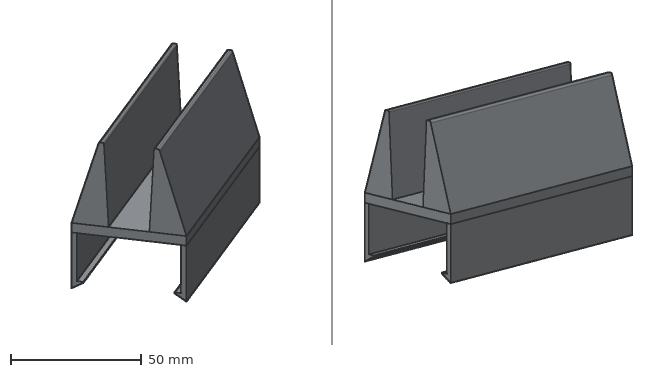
import cadquery as cq

length = 100.0
width = 46.0
plate_thickness = 4.0

jaw_height = 35.0
jaw_base_gap = 16.3
jaw_tip_gap = 20.1
jaw_tip_width = 2.0
jaw_outer_radius = 1.0
jaw_inner_radius = 0.5

leg_height = 23.4
leg_thickness = 2.2
hook_height = 3.3
hook_reach = 4.8
hook_lip = 0.4

half_width = width / 2
jaw_top = plate_thickness + jaw_height
leg_bottom = -leg_height
hook_top = leg_bottom + hook_height


def extrude_profile(points):
    """Extrude a closed XZ outline along Y, centred on the origin."""
    return cq.Workplane("XZ").polyline(points).close().extrude(length / 2, both=True)


def make_plate():
    """Flat plate that carries the jaws above and the legs below."""
    return cq.Workplane("XY").box(width, length, plate_thickness, centered=(True, True, False))


def make_jaw(side):
    """Tapered jaw with a rounded tip, on the side given by the sign of X."""
    base_inner = jaw_base_gap / 2
    tip_inner = jaw_tip_gap / 2
    tip_outer = tip_inner + jaw_tip_width
    jaw = extrude_profile([
        (side * half_width, plate_thickness),
        (side * tip_outer, jaw_top),
        (side * tip_inner, jaw_top),
        (side * base_inner, plate_thickness),
    ])
    outer_edge = cq.selectors.NearestToPointSelector((side * tip_outer, 0, jaw_top))
    inner_edge = cq.selectors.NearestToPointSelector((side * tip_inner, 0, jaw_top))
    jaw = jaw.edges("|Y").edges(outer_edge).fillet(jaw_outer_radius)
    return jaw.edges("|Y").edges(inner_edge).fillet(jaw_inner_radius)


def make_leg(side):
    """Snap leg with an inward hook, on the side given by the sign of X."""
    leg_inner = half_width - leg_thickness
    hook_tip = half_width - hook_reach
    return extrude_profile([
        (side * half_width, 0),
        (side * half_width, leg_bottom),
        (side * hook_tip, hook_top - hook_lip),
        (side * hook_tip, hook_top),
        (side * leg_inner, hook_top),
        (side * leg_inner, 0),
    ])


plate = make_plate()
sides = (-1, 1)
jaws = [make_jaw(side).val() for side in sides]
legs = [make_leg(side).val() for side in sides]

result = cq.Compound.makeCompound([plate.val(), *jaws, *legs])